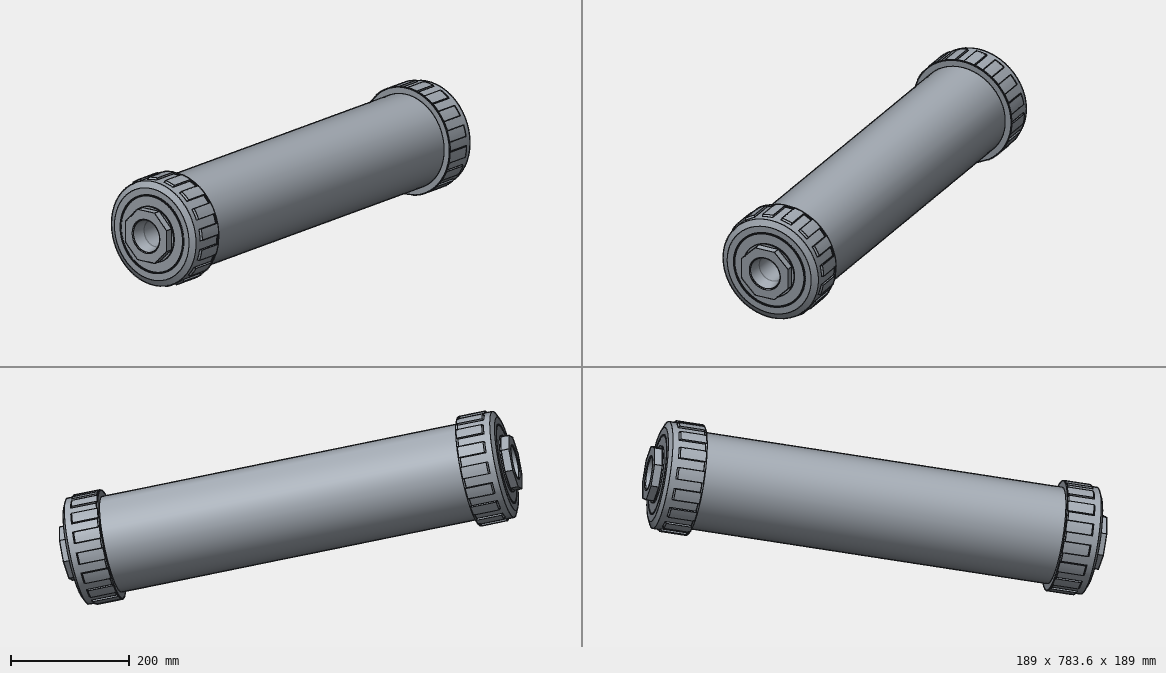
import cadquery as cq
import math

total_length = 783.59
tube_diameter = 165.0

nut_diameter = 182.9
nut_outer_end = 376.2
nut_inner_end = 311.8
nut_face_diameter = 161.0
nut_chamfer_start = 370.8

rib_diameter = 189.1
rib_count = 16
rib_pitch = 360.0 / rib_count
rib_width = 19.8
rib_outer_end = 360.0
rib_phase = 7.5
rib_end_run = 2.4
rib_inner_bevel = 1.2

lip_diameter = 187.0
lip_thickness = 3.0

gap_outer_diameter = 136.8
gap_inner_diameter = 132.99
gap_depth = 2.0

collar_diameter = 97.5
collar_end = 378.5
octagon_across_flats = 88.9
octagon_sides = 8

bore_diameter = 48.26
mouth_diameter = 56.36
mouth_depth = 25.0
mouth_chamfer = 1.6

half_length = total_length / 2


def cylinder_along_y(diameter, start, end):
    """Cylinder on the Y axis between two Y positions, end > start."""
    circle = cq.Workplane("XZ", origin=(0, end, 0)).circle(diameter / 2)
    return circle.extrude(end - start)


def revolved_about_y(points):
    """Solid of revolution about Y from (radius, y) points."""
    return cq.Workplane("XY").polyline(points).close().revolve(360, (0, 0, 0), (0, 1, 0))


def nut_body():
    """Nut blank with its outer end chamfered down to the face."""
    radius = nut_diameter / 2
    return revolved_about_y([
        (0, nut_inner_end),
        (radius, nut_inner_end),
        (radius, nut_chamfer_start),
        (nut_face_diameter / 2, nut_outer_end),
        (0, nut_outer_end),
    ])


def grip_ribs():
    """Ribs and closing lip, trimmed to a sloped outer end and a bevelled inner end."""
    radius = rib_diameter / 2
    envelope = revolved_about_y([
        (0, nut_inner_end),
        (radius - rib_inner_bevel, nut_inner_end),
        (radius, nut_inner_end + rib_inner_bevel),
        (radius, rib_outer_end - rib_end_run),
        (nut_diameter / 2, rib_outer_end),
        (0, rib_outer_end),
    ])
    length = rib_outer_end - nut_inner_end
    bar = cq.Workplane("XY", origin=(0, nut_inner_end, 0))
    bar = bar.box(rib_width, length, rib_diameter, centered=(True, False, False))
    bars = cylinder_along_y(lip_diameter, nut_inner_end, nut_inner_end + lip_thickness)
    for index in range(rib_count):
        angle = rib_phase + index * rib_pitch
        bars = bars.union(bar.rotate((0, 0, 0), (0, 1, 0), angle))
    return bars.intersect(envelope)


def octagon_head():
    """Octagonal wrench head with flats square to X and Z."""
    corner_diameter = octagon_across_flats / math.cos(math.pi / octagon_sides)
    profile = cq.Workplane("XZ", origin=(0, half_length, 0)).polygon(octagon_sides, corner_diameter)
    head = profile.extrude(half_length - collar_end)
    return head.rotate((0, 0, 0), (0, 1, 0), 180 / octagon_sides)


def end_gap():
    """Shallow ring groove in the nut face."""
    floor = nut_outer_end - gap_depth
    outer = cylinder_along_y(gap_outer_diameter, floor, nut_outer_end)
    return outer.cut(cylinder_along_y(gap_inner_diameter, floor, nut_outer_end))


def bore_mouth():
    """Tapered mouth with a chamfered entry."""
    return revolved_about_y([
        (0, half_length - mouth_depth),
        (bore_diameter / 2, half_length - mouth_depth),
        (mouth_diameter / 2, half_length - mouth_chamfer),
        (mouth_diameter / 2 + mouth_chamfer, half_length),
        (0, half_length),
    ])


def end_fitting():
    """Complete fitting for the +Y end, without its bore."""
    fitting = nut_body().union(grip_ribs())
    fitting = fitting.cut(end_gap())
    fitting = fitting.union(cylinder_along_y(collar_diameter, nut_inner_end, collar_end))
    fitting = fitting.union(octagon_head())
    return fitting.cut(bore_mouth())


back_fitting = end_fitting()
front_fitting = back_fitting.rotate((0, 0, 0), (0, 0, 1), 180)
tube = cylinder_along_y(tube_diameter, -nut_inner_end, nut_inner_end)
bore = cylinder_along_y(bore_diameter, -half_length, half_length)
result = tube.union(back_fitting).union(front_fitting).cut(bore)